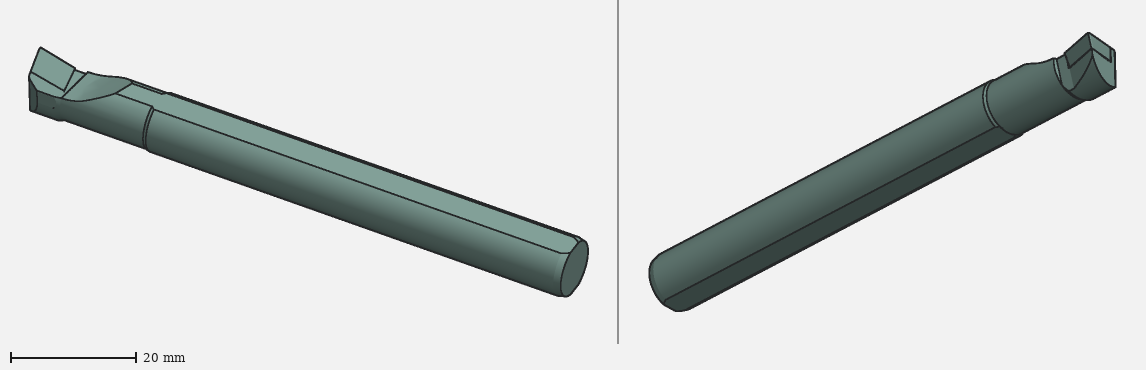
import cadquery as cq
import math

LENGTH = 99.8
SHANK_RADIUS = 5.0
NECK_RADIUS = 4.8
FLAT_HEIGHT = 4.5
STEP_START = 24.5
STEP_END = 25.1
REAR_CHAMFER_LENGTH = 1.2
REAR_CHAMFER_DEPTH = 0.3

HEAD_RADIUS = 5.6
HEAD_OFFSET_Y = 0.6
HEAD_TAPER_START = 8.5
HEAD_END = 9.6

RAKE_ANGLE = 10.0
RAKE_HEIGHT = 1.3
RUNOUT_START = 9.4
RUNOUT_RADIUS = 11.0
RUNOUT_ANGLE = 25.0
RUNOUT_LENGTH = 15.0
CLEAR = 20.0

INSERT_THICKNESS = 2.4
TIP_Y = 6.8
TIP_FLAT = 0.5
INSERT_FRONT = (1.9, -0.3)
INSERT_INNER = (9.0, -2.2)
INSERT_SIDE = (7.4, 4.6)
FRONT_RELIEF = 0.5
SIDE_RELIEF = 0.9

NOSE_FACET_START = (2.3, -1.6)
NOSE_CORNER = (2.9, -2.4)
NOSE_END = (5.6, -4.9)
NOSE_RELIEF_ANGLE = 6.0
NOSE_DEPTH = 10.0

rake_sin = math.sin(math.radians(RAKE_ANGLE))
rake_cos = math.cos(math.radians(RAKE_ANGLE))


def rake_plane():
    return cq.Plane(origin=(0, 0, RAKE_HEIGHT), xDir=(1, 0, 0), normal=(0, rake_sin, rake_cos))


def on_rake(point):
    """Rake-plane coordinates of the point of the rake face above (x, y)."""
    x, y = point
    return (x, y / rake_cos)


def tip_points():
    """Ends of the short nose edge at x = 0."""
    return [(0, TIP_Y - TIP_FLAT), (0, TIP_Y)]


def make_insert():
    nose, tip = tip_points()
    top = [INSERT_FRONT, nose, tip, INSERT_SIDE, INSERT_INNER]
    bottom = [
        (INSERT_FRONT[0] + FRONT_RELIEF, INSERT_FRONT[1]),
        (nose[0] + FRONT_RELIEF, nose[1] - SIDE_RELIEF),
        (tip[0] + FRONT_RELIEF, tip[1] - SIDE_RELIEF),
        (INSERT_SIDE[0], INSERT_SIDE[1] - SIDE_RELIEF),
        INSERT_INNER,
    ]
    return (
        cq.Workplane(rake_plane())
        .polyline([on_rake(p) for p in top]).close()
        .workplane(offset=-INSERT_THICKNESS)
        .polyline([on_rake(p) for p in bottom]).close()
        .loft(ruled=True)
    )


def make_bar():
    """Neck and shank of revolution, with flats."""
    profile = [
        (HEAD_END, 0),
        (HEAD_END, NECK_RADIUS),
        (STEP_START, NECK_RADIUS),
        (STEP_END, SHANK_RADIUS),
        (LENGTH - REAR_CHAMFER_LENGTH, SHANK_RADIUS),
        (LENGTH, SHANK_RADIUS - REAR_CHAMFER_DEPTH),
        (LENGTH, 0),
    ]
    bar = cq.Workplane("XY").polyline(profile).close().revolve(360, (0, 0), (1, 0))
    top_cut = cq.Workplane("XY").box(LENGTH, CLEAR, CLEAR, centered=(False, True, False))
    top_cut = top_cut.translate((0, 0, FLAT_HEIGHT))
    bottom_cut = (
        cq.Workplane("XY")
        .box(LENGTH, CLEAR, CLEAR, centered=(False, True, False))
        .translate((STEP_START, 0, -FLAT_HEIGHT - CLEAR))
    )
    return bar.cut(top_cut).cut(bottom_cut)


def make_head():
    """Offset round blank trimmed to the nose outline."""
    blank = cq.Workplane("YZ").center(HEAD_OFFSET_Y, 0).circle(HEAD_RADIUS).extrude(HEAD_TAPER_START)
    taper = (
        cq.Workplane("YZ", origin=(HEAD_TAPER_START, 0, 0))
        .center(HEAD_OFFSET_Y, 0).circle(HEAD_RADIUS)
        .workplane(offset=HEAD_END - HEAD_TAPER_START)
        .center(-HEAD_OFFSET_Y, 0).circle(NECK_RADIUS)
        .loft(ruled=True)
    )
    side_cut = (
        cq.Workplane("XY")
        .box(HEAD_END, HEAD_RADIUS, HEAD_RADIUS, centered=False)
        .translate((0, -HEAD_RADIUS, 0))
        .rotate((0, 0, 0), (1, 0, 0), -RAKE_ANGLE)
        .translate((0, HEAD_OFFSET_Y - HEAD_RADIUS, 0))
    )
    side_y = INSERT_SIDE[1] - SIDE_RELIEF / 2
    outline = [
        (0, TIP_Y - SIDE_RELIEF / 2),
        (INSERT_SIDE[0], side_y),
        (CLEAR, side_y),
        (CLEAR, -CLEAR),
        (NOSE_END[0], -CLEAR),
        NOSE_END,
        NOSE_CORNER,
        NOSE_FACET_START,
        (0, TIP_Y - TIP_FLAT),
    ]
    nose = (
        cq.Workplane(rake_plane())
        .polyline([on_rake(p) for p in outline]).close()
        .extrude(-NOSE_DEPTH, taper=NOSE_RELIEF_ANGLE)
    )
    return blank.union(taper).cut(side_cut).intersect(nose)


def make_rake_cut():
    """Everything above the rake face and its curved run-out."""
    angle = math.radians(RUNOUT_ANGLE)
    bend_end = (
        RUNOUT_START + RUNOUT_RADIUS * math.sin(angle),
        RUNOUT_RADIUS * (1 - math.cos(angle)),
    )
    slope = (math.cos(angle), math.sin(angle))
    slope_end = (
        bend_end[0] + RUNOUT_LENGTH * slope[0],
        bend_end[1] + RUNOUT_LENGTH * slope[1],
    )
    side_plane = cq.Plane(
        origin=(0, CLEAR * rake_cos, RAKE_HEIGHT - CLEAR * rake_sin),
        xDir=(1, 0, 0),
        normal=(0, -rake_cos, rake_sin),
    )
    return (
        cq.Workplane(side_plane)
        .moveTo(-CLEAR, 0)
        .lineTo(RUNOUT_START, 0)
        .spline([bend_end, slope_end], tangents=[(1, 0), slope, slope], includeCurrent=True)
        .lineTo(-CLEAR, slope_end[1])
        .close()
        .extrude(2 * CLEAR)
    )


def make_pocket():
    """Seat of the insert, open towards the tip and the +Y side."""
    along_front = (INSERT_FRONT[0] - INSERT_INNER[0], INSERT_FRONT[1] - INSERT_INNER[1])
    along_side = (INSERT_SIDE[0] - INSERT_INNER[0], INSERT_SIDE[1] - INSERT_INNER[1])
    corner = (
        INSERT_INNER[0] + 2 * along_front[0],
        INSERT_INNER[1] + 2 * along_front[1],
    )
    far_side = (
        INSERT_INNER[0] + 2 * along_side[0],
        INSERT_INNER[1] + 2 * along_side[1],
    )
    far_corner = (corner[0] + 2 * along_side[0], corner[1] + 2 * along_side[1])
    points = [INSERT_INNER, corner, far_corner, far_side]
    return (
        cq.Workplane(rake_plane())
        .polyline([on_rake(p) for p in points]).close()
        .extrude(-INSERT_THICKNESS)
    )


insert = make_insert()
holder = make_bar().union(make_head()).cut(make_rake_cut()).cut(make_pocket()).cut(insert)

result = cq.Compound.makeCompound([holder.val(), insert.val()])